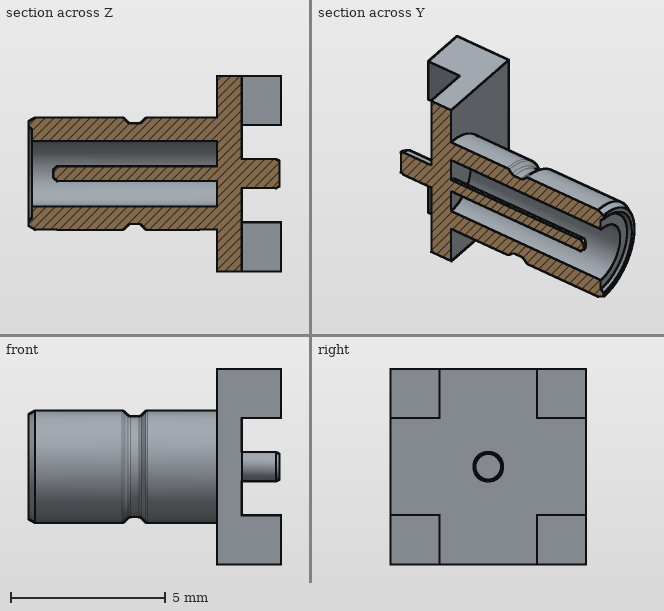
import cadquery as cq
import math


flange_side = 6.35
flange_thickness = 0.81
leg_length = 1.27
leg_side = 1.6
leg_gap = flange_side - 2 * leg_side

barrel_length = 6.12
barrel_radius = 1.83
nose_chamfer_length = 0.22
nose_chamfer_angle = 30
nose_drop = nose_chamfer_length * math.tan(math.radians(nose_chamfer_angle))

groove_center = 3.45
groove_depth = 0.19
groove_floor_width = 0.37
groove_edge_round = 0.1
groove_root_round = 0.13
groove_floor_radius = barrel_radius - groove_depth
groove_mouth_width = groove_floor_width + 2 * groove_depth
edge_pick_margin = 0.01

mouth_radius = 1.55
shoulder_radius = 1.44
shoulder_depth = mouth_radius - shoulder_radius
bore_radius = 1.06

pin_radius = 0.25
pin_tip_radius = 0.125
pin_tip_length = pin_radius - pin_tip_radius
pin_start = 0.8
tail_radius = 0.48
tail_end = 8.15
tail_chamfer_length = 0.12
tail_chamfer_drop = 0.06


def revolve_about_x(profile):
    """Turn a closed (X, radius) profile around the X axis."""
    return profile.close().revolve(360, (0, 0, 0), (1, 0, 0))


def box_from(x_start, length, size_y, size_z):
    """Box centered on the X axis, starting at x_start."""
    return cq.Workplane("YZ", origin=(x_start, 0, 0)).rect(size_y, size_z).extrude(length)


def make_base():
    """Flange whose crossing channels leave one leg at each corner."""
    base = box_from(barrel_length, flange_thickness + leg_length, flange_side, flange_side)
    channel_start = barrel_length + flange_thickness
    for size_y, size_z in ((leg_gap, flange_side), (flange_side, leg_gap)):
        base = base.cut(box_from(channel_start, leg_length, size_y, size_z))
    return base


def make_barrel():
    """Solid barrel with a chamfered nose."""
    return revolve_about_x(
        cq.Workplane("XY")
        .moveTo(0, 0)
        .lineTo(0, barrel_radius - nose_drop)
        .lineTo(nose_chamfer_length, barrel_radius)
        .lineTo(barrel_length, barrel_radius)
        .lineTo(barrel_length, 0)
    )


def round_edge_at(barrel, x_position, round_radius):
    """Round the circular edge of the barrel that lies at x_position."""
    slab = cq.selectors.BoxSelector(
        (x_position - edge_pick_margin, -barrel_radius, -barrel_radius),
        (x_position + edge_pick_margin, barrel_radius, barrel_radius),
    )
    return barrel.edges("%CIRCLE").edges(slab).fillet(round_radius)


def cut_groove(barrel):
    """Cut the snap groove and round its two roots and two outer edges."""
    half_mouth = groove_mouth_width / 2
    half_floor = groove_floor_width / 2
    groove = revolve_about_x(
        cq.Workplane("XY")
        .moveTo(groove_center - half_mouth, barrel_radius)
        .lineTo(groove_center - half_floor, groove_floor_radius)
        .lineTo(groove_center + half_floor, groove_floor_radius)
        .lineTo(groove_center + half_mouth, barrel_radius)
    )
    barrel = barrel.cut(groove)
    for half_width, round_radius in ((half_floor, groove_root_round), (half_mouth, groove_edge_round)):
        for side in (-1, 1):
            barrel = round_edge_at(barrel, groove_center + side * half_width, round_radius)
    return barrel


def make_socket():
    """Hollow of the mating end."""
    return revolve_about_x(
        cq.Workplane("XY")
        .moveTo(0, 0)
        .lineTo(0, mouth_radius)
        .lineTo(shoulder_depth, shoulder_radius)
        .lineTo(shoulder_depth, bore_radius)
        .lineTo(barrel_length, bore_radius)
        .lineTo(barrel_length, 0)
    )


def make_contact():
    """Center contact, from the pin tip to the end of the solder tail."""
    return revolve_about_x(
        cq.Workplane("XY")
        .moveTo(pin_start, 0)
        .lineTo(pin_start, pin_tip_radius)
        .lineTo(pin_start + pin_tip_length, pin_radius)
        .lineTo(barrel_length, pin_radius)
        .lineTo(barrel_length, tail_radius)
        .lineTo(tail_end - tail_chamfer_length, tail_radius)
        .lineTo(tail_end, tail_radius - tail_chamfer_drop)
        .lineTo(tail_end, 0)
    )


shell = cut_groove(make_barrel()).cut(make_socket())
result = shell.union(make_base()).union(make_contact())